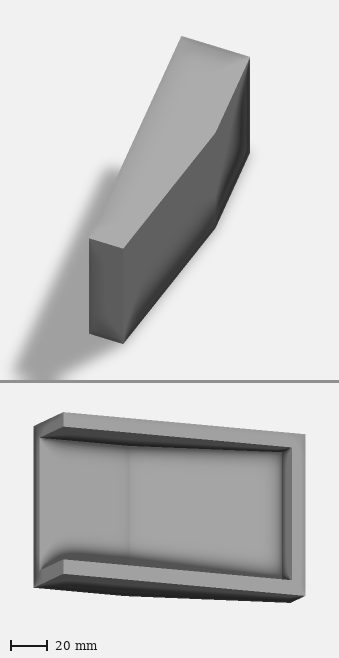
import cadquery as cq
import math

width = 40.0
length = 144.0
height = 90.0

nose_width = 20.0
straight_length = 54.0
wall = 8.0

inner_bend_radius = 2.0
outer_bend_radius = inner_bend_radius + wall

taper_length = length - straight_length
taper_run = width - nose_width
taper_angle = math.atan2(taper_run, taper_length)


def tapered_block(near_y, near_width, bend_y, full_width, bottom_z, top_z, bend_radius):
    """Block flat at X = 0 that widens from near_y to bend_y, then runs straight to the open end."""
    block = (
        cq.Workplane("XY")
        .workplane(offset=bottom_z)
        .polyline([
            (0, near_y),
            (near_width, near_y),
            (full_width, bend_y),
            (full_width, length),
            (0, length),
        ])
        .close()
        .extrude(top_z - bottom_z)
    )
    bend_edge = cq.selectors.NearestToPointSelector((full_width, bend_y, (bottom_z + top_z) / 2))
    return block.edges(bend_edge).fillet(bend_radius)


body = tapered_block(0, nose_width, taper_length, width, 0, height, outer_bend_radius)

cavity_bend_y = taper_length + wall * math.tan(taper_angle / 2)
cavity_width = width - wall
cavity_nose_width = cavity_width - (cavity_bend_y - wall) * math.tan(taper_angle)
cavity = tapered_block(
    wall, cavity_nose_width, cavity_bend_y, cavity_width, wall, height - wall, inner_bend_radius
)

result = body.cut(cavity)